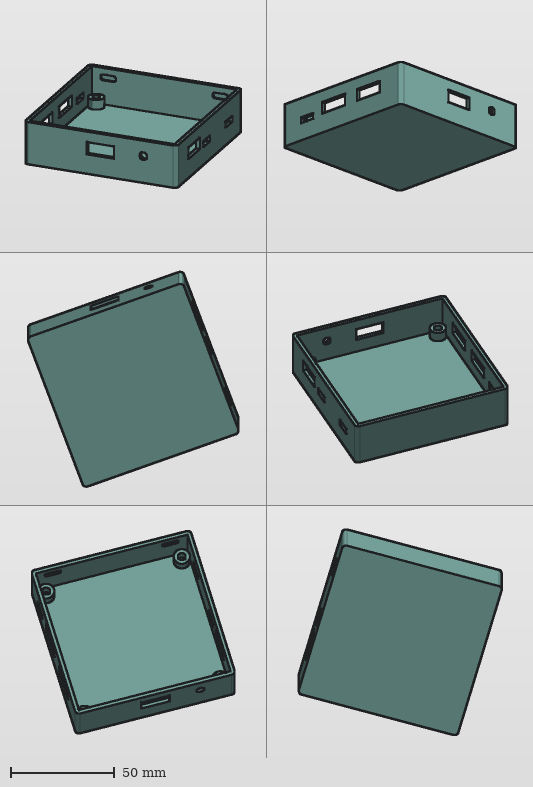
import cadquery as cq

side = 80.0
height = 22.0
wall = 2.0
floor_thickness = 3.0
corner_radius = 2.0
inner_side = side - 2 * wall
wall_center = (side - wall) / 2
cut_depth = 2 * wall

post_diameter = 7.9
post_hole_diameter = 3.8
post_height = 5.0
post_offset = inner_side / 2 - 4.0

port_bottom = 10.0
port_height = 5.9
left_port_width = 15.5
left_port_centers = (5.8, -17.8)
right_port_width = 14.2
right_port_center = -18.7
small_port_width = 8.2
small_port_height = 3.0
small_port_bottom = 9.0
right_small_port_bottom = 9.4
outer_small_port_center = 23.8
inner_small_port_center = -3.3

window_width = 14.2
window_height = 6.4
window_bottom = 10.2
window_center = -0.2
round_hole_diameter = 3.9
round_hole_x = 22.4
round_hole_z = 14.0

slot_length = 8.2
slot_height = 3.0
slot_offset = 29.4
slot_z = 17.0
slot_depth = 1.0


def side_opening(wall_x, center_y, bottom, width, opening_height):
    """Rectangular cutter through a wall facing along X."""
    return (
        cq.Workplane("XY", origin=(wall_x, center_y, bottom))
        .box(cut_depth, width, opening_height, centered=(True, True, False))
    )


def make_tray():
    outer = cq.Workplane("XY").box(side, side, height, centered=(True, True, False))
    outer = outer.edges("|Z").fillet(corner_radius)
    cavity = (
        cq.Workplane("XY", origin=(0, 0, floor_thickness))
        .box(inner_side, inner_side, height, centered=(True, True, False))
    )
    return outer.cut(cavity)


def make_posts():
    spacing = 2 * post_offset
    posts = (
        cq.Workplane("XY")
        .rarray(spacing, spacing, 2, 2)
        .circle(post_diameter / 2)
        .extrude(floor_thickness + post_height)
    )
    bores = (
        cq.Workplane("XY", origin=(0, 0, floor_thickness))
        .rarray(spacing, spacing, 2, 2)
        .circle(post_hole_diameter / 2)
        .extrude(post_height)
    )
    return posts.cut(bores)


def cut_left_wall(body):
    for center in left_port_centers:
        body = body.cut(side_opening(-wall_center, center, port_bottom, left_port_width, port_height))
    return body.cut(
        side_opening(-wall_center, outer_small_port_center, small_port_bottom,
                     small_port_width, small_port_height)
    )


def cut_right_wall(body):
    for center in (outer_small_port_center, inner_small_port_center):
        body = body.cut(
            side_opening(wall_center, center, right_small_port_bottom, small_port_width, small_port_height)
        )
    return body.cut(
        side_opening(wall_center, right_port_center, port_bottom, right_port_width, port_height)
    )


def cut_front_wall(body):
    window = (
        cq.Workplane("XY", origin=(window_center, -wall_center, window_bottom))
        .box(window_width, cut_depth, window_height, centered=(True, True, False))
    )
    round_hole = (
        cq.Workplane("XZ", origin=(round_hole_x, -wall_center, round_hole_z))
        .circle(round_hole_diameter / 2)
        .extrude(cut_depth / 2, both=True)
    )
    return body.cut(window).cut(round_hole)


def cut_back_wall(body):
    slots = (
        cq.Workplane("XZ", origin=(0, inner_side / 2 + slot_depth, slot_z))
        .pushPoints([(-slot_offset, 0), (slot_offset, 0)])
        .slot2D(slot_length, slot_height)
        .extrude(2 * slot_depth)
    )
    return body.cut(slots)


result = make_tray().union(make_posts())
result = cut_left_wall(result)
result = cut_right_wall(result)
result = cut_front_wall(result)
result = cut_back_wall(result)